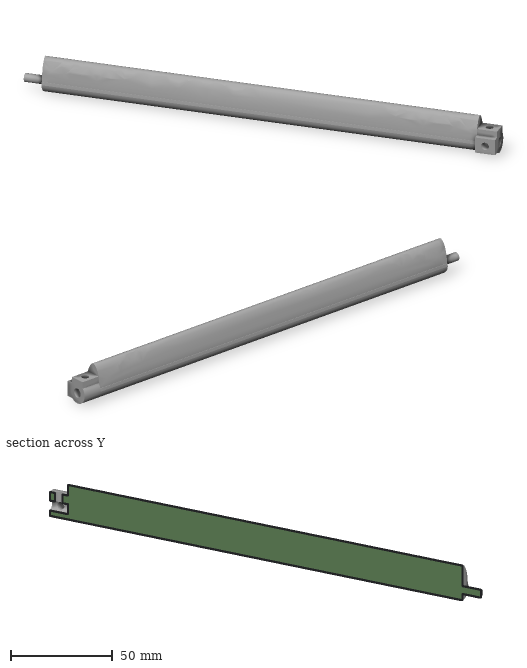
import cadquery as cq
import math

total_length = 246.0
end_length = 10.3
body_radius = 5.54
body_height = 18.5
band_foot_z = -0.5
band_top_z = 1.1
band_top_half_width = 5.3
ledge_width = 0.2
flank_half_width = 4.0
flank_z = 7.9
flank_lean = 0.2
journal_diameter = 4.5
bore_diameter = 5.0
screw_diameter = 4.0
pad_width = 8.0
pad_reach = 7.25

body_start = end_length
body_end = total_length - end_length
crest_z = body_height - body_radius
band_foot_half_width = math.sqrt(body_radius**2 - band_foot_z**2)
flank_foot_half_width = band_top_half_width - ledge_width


def cylinder_along_x(start, length, diameter):
    return cq.Workplane("YZ", origin=(start, 0, 0)).circle(diameter / 2).extrude(length)


def make_body():
    """Teardrop section: round underside, sloping bands and a smooth curve over the crest."""
    crest_points = [
        (flank_half_width, flank_z),
        (0, crest_z),
        (-flank_half_width, flank_z),
        (-flank_foot_half_width, band_top_z),
    ]
    return (
        cq.Workplane("YZ", origin=(body_start, 0, 0))
        .moveTo(-band_foot_half_width, band_foot_z)
        .threePointArc((0, -body_radius), (band_foot_half_width, band_foot_z))
        .lineTo(band_top_half_width, band_top_z)
        .lineTo(flank_foot_half_width, band_top_z)
        .spline(crest_points, tangents=[(-flank_lean, 1), (-flank_lean, -1)], includeCurrent=True)
        .lineTo(-band_top_half_width, band_top_z)
        .close()
        .extrude(body_end - body_start)
    )


def make_coupling():
    """Bored barrel with screw pads on its upper and front sides."""
    middle_x = body_end + end_length / 2
    coupling = cylinder_along_x(body_end, end_length, 2 * body_radius)
    planes = [cq.Plane.XY((middle_x, 0, 0)), cq.Plane.XZ((middle_x, 0, 0))]
    for plane in planes:
        coupling = coupling.union(cq.Workplane(plane).rect(end_length, pad_width).extrude(pad_reach))
    coupling = coupling.cut(cylinder_along_x(body_end, end_length, bore_diameter))
    for plane in planes:
        coupling = coupling.cut(cq.Workplane(plane).circle(screw_diameter / 2).extrude(pad_reach))
    return coupling


journal = cylinder_along_x(0, body_start, journal_diameter)
result = make_body().union(journal).union(make_coupling())